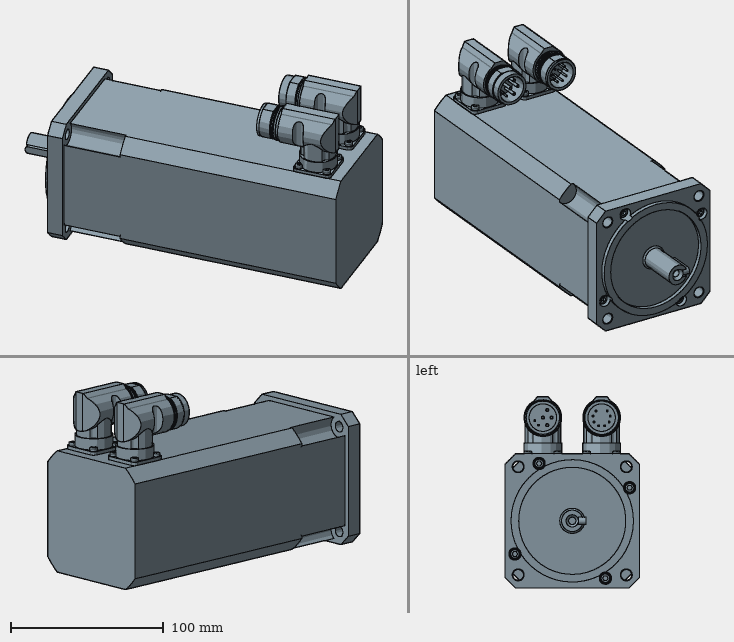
import cadquery as cq
import math


shaft_radius = 7.0
shaft_length = 30.0
key_width = 5.0
key_length = 20.0
key_floor = 4.0
key_top = 9.0
centre_bore_radius = 2.4
centre_bore_depth = 12.0
centre_countersink_radius = 4.0
centre_countersink_depth = 2.5

flange_width = 88.0
flange_thickness = 10.5
flange_chamfer = 7.0
pilot_radius = 40.0
pilot_height = 3.0
pilot_recess_radius = 35.0
pilot_recess_depth = 3.0
seal_radius = 8.2
seal_height = 1.0
bolt_circle_radius = 50.0
bolt_hole_radius = 3.5
bolt_hole_chamfer = 0.4

screw_circle_radius = 43.3
screw_first_angle = 30.0
screw_pocket_radius = 4.0
screw_pocket_depth = 5.0
screw_head_radius = 3.4
screw_head_height = 3.0
screw_head_chamfer = 0.6
screw_socket_width = 3.6
screw_socket_depth = 2.0

overall_length = 232.0
body_width = 82.0
body_corner_radius = 52.0
relief_radius = 7.5
relief_end = 50.0

connector_offset = 19.2
connector_x = 181.0
base_size = 26.3
base_height = 2.3
base_corner_radius = 3.0
base_screw_spacing = 19.5
base_screw_radius = 2.6
base_screw_height = 2.2
base_screw_rounding = 0.8
base_socket_width = 2.5
base_socket_depth = 1.2
collar_radius = 12.5
collar_top = 9.8
neck_radius = 11.7
neck_scallop_radius = 3.45

housing_start = 157.1
housing_end = 194.2
housing_radius = 12.3
overall_top = 125.22 - flange_width / 2
housing_roof_height = 13.75
roof_half_width = 3.5
roof_base_half_width = 6.0
rear_half_width = 3.0
rear_corner_length = 6.8
rear_corner_radius = 20.0
grip_x = 171.2
grip_radius = 3.75
grip_depth = 4.2

nose_start = 141.8
nose_bore_radius = 9.0
nose_bore_depth = 12.0
pin_circle_radius = 5.7
pin_length = 10.5
pin_chamfer = 0.25
pin_root = 1.0
power_pin_radius = 1.0
signal_pin_radius = 0.6

body_half = body_width / 2
body_end = overall_length - shaft_length
connector_axis_z = overall_top - housing_roof_height


def x_cylinder(radius, start, end, y=0.0, z=0.0):
    """Solid cylinder parallel to the motor axis."""
    return cq.Workplane("YZ", origin=(start, y, z)).circle(radius).extrude(end - start)


def x_cone(start_radius, end_radius, start, end, y=0.0, z=0.0):
    """Solid truncated cone parallel to the motor axis."""
    base = cq.Workplane("YZ", origin=(start, y, z)).circle(start_radius)
    return base.workplane(offset=end - start).circle(end_radius).loft(ruled=True)


def polar(radius, angle):
    """Y and Z of a point at an angle measured from -Y towards +Z."""
    turn = math.radians(angle)
    return -radius * math.cos(turn), radius * math.sin(turn)


def make_body():
    block = cq.Workplane("YZ").rect(body_width, body_width).extrude(body_end)
    body = block.intersect(x_cylinder(body_corner_radius, 0, body_end))
    for corner in range(4):
        y, z = polar(bolt_circle_radius, 45 + 90 * corner)
        body = body.cut(x_cylinder(relief_radius, 0, relief_end, y, z))
    return body


def make_flange():
    plate = cq.Workplane("YZ").rect(flange_width, flange_width).extrude(flange_thickness)
    plate = plate.edges("|X").chamfer(flange_chamfer)
    return plate.union(x_cylinder(pilot_radius, -pilot_height, 0))


def cut_flange_face(motor):
    floor_x = pilot_recess_depth - pilot_height
    bolt_rim_radius = bolt_hole_radius + bolt_hole_chamfer
    motor = motor.cut(x_cylinder(pilot_recess_radius, -pilot_height, floor_x))
    for corner in range(4):
        y, z = polar(bolt_circle_radius, 45 + 90 * corner)
        motor = motor.cut(x_cylinder(bolt_hole_radius, 0, flange_thickness, y, z))
        motor = motor.cut(x_cone(bolt_rim_radius, bolt_hole_radius, 0, bolt_hole_chamfer, y, z))
    return motor


def add_flange_screws(motor):
    head_top = screw_pocket_depth - screw_head_height
    for quarter in range(4):
        y, z = polar(screw_circle_radius, screw_first_angle + 90 * quarter)
        motor = motor.cut(x_cylinder(screw_pocket_radius, -pilot_height, screw_pocket_depth, y, z))
        head = x_cylinder(screw_head_radius, head_top, screw_pocket_depth, y, z)
        head = head.faces("<X").chamfer(screw_head_chamfer)
        socket = cq.Workplane("YZ", origin=(head_top, y, z)).polygon(6, screw_socket_width)
        motor = motor.union(head.cut(socket.extrude(screw_socket_depth)))
    return motor


def make_shaft():
    shaft = x_cylinder(shaft_radius, -shaft_length, flange_thickness)
    seal_end = pilot_recess_depth - pilot_height
    shaft = shaft.union(x_cone(shaft_radius, seal_radius, seal_end - seal_height, seal_end))
    key_plane = cq.Workplane("XZ", origin=(0, -key_floor, 0))
    key_centre = -shaft_length + key_length / 2
    key_outline = key_plane.center(key_centre, 0).slot2D(key_length, key_width)
    key = key_outline.extrude(key_top - key_floor)
    open_length = key_length / 2
    open_end = key_plane.center(-shaft_length + open_length / 2, 0).rect(open_length, key_width)
    shaft = shaft.cut(open_end.extrude(key_top - key_floor)).union(key)
    tip = -shaft_length
    countersink_end = tip + centre_countersink_depth
    shaft = shaft.cut(x_cone(centre_countersink_radius, centre_bore_radius, tip, countersink_end))
    return shaft.cut(x_cylinder(centre_bore_radius, tip, tip + centre_bore_depth))


def make_connector_base(y):
    plane = cq.Workplane("XY", origin=(connector_x, y, body_half))
    plate = plane.rect(base_size, base_size).extrude(base_height)
    base = plate.edges("|Z").fillet(base_corner_radius)
    head_top = base_height + base_screw_height
    corners = plane.rect(base_screw_spacing, base_screw_spacing, forConstruction=True).vertices()
    heads = corners.circle(base_screw_radius).extrude(head_top)
    base = base.union(heads.faces(">Z").edges().fillet(base_screw_rounding))
    socket_plane = plane.workplane(offset=head_top)
    sockets = socket_plane.rect(base_screw_spacing, base_screw_spacing, forConstruction=True)
    base = base.cut(sockets.vertices().polygon(6, base_socket_width).extrude(-base_socket_depth))
    return base.union(plane.circle(collar_radius).extrude(collar_top))


def make_neck(y):
    """Upright round neck, scalloped to clear each base screw."""
    height = connector_axis_z - body_half
    plane = cq.Workplane("XY", origin=(connector_x, y, body_half))
    neck = plane.circle(neck_radius).extrude(height)
    corners = plane.rect(base_screw_spacing, base_screw_spacing, forConstruction=True).vertices()
    return neck.cut(corners.circle(neck_scallop_radius).extrude(height))


def make_housing(y):
    """Horizontal barrel with a ridge on top, curved rear corners and two finger grips."""
    length = housing_end - housing_start
    barrel = x_cylinder(housing_radius, housing_start, housing_end, y, connector_axis_z)
    roof_base = math.sqrt(housing_radius**2 - roof_base_half_width**2)
    ridge = (
        cq.Workplane("YZ", origin=(housing_start, y, connector_axis_z))
        .moveTo(-roof_base_half_width, 0)
        .lineTo(-roof_base_half_width, roof_base)
        .lineTo(-roof_half_width, housing_roof_height)
        .lineTo(roof_half_width, housing_roof_height)
        .lineTo(roof_base_half_width, roof_base)
        .lineTo(roof_base_half_width, 0)
        .close()
        .extrude(length)
    )
    housing = barrel.union(ridge)

    corner_start = length - rear_corner_length
    footprint = (
        cq.Workplane("XY", origin=(housing_start, y, body_half))
        .moveTo(0, -housing_radius)
        .lineTo(corner_start, -housing_radius)
        .radiusArc((length, -rear_half_width), -rear_corner_radius)
        .lineTo(length, rear_half_width)
        .radiusArc((corner_start, housing_radius), -rear_corner_radius)
        .lineTo(0, housing_radius)
        .close()
        .extrude(overall_top - body_half)
    )
    housing = housing.intersect(footprint)

    grip_axis = housing_radius - grip_depth + grip_radius
    grip_plane = cq.Workplane("XY", origin=(grip_x, y, connector_axis_z))
    grips = grip_plane.pushPoints([(0, -grip_axis), (0, grip_axis)]).circle(grip_radius)
    return housing.cut(grips.extrude(housing_radius, both=True))


def make_nose(y, rings, flat_ring, flat_height):
    """Stepped plug nose from (radius, length) rings, one of them flat on top, with a blind bore."""
    x = nose_start
    nose = cq.Workplane("XY")
    for index, (radius, length) in enumerate(rings):
        ring = x_cylinder(radius, x, x + length, y, connector_axis_z)
        if index == flat_ring:
            below_flat = cq.Workplane("YZ", origin=(x, y, connector_axis_z + flat_height - radius))
            ring = ring.intersect(below_flat.rect(2 * radius, 2 * radius).extrude(length))
        nose = nose.union(ring)
        x += length
    bore_end = nose_start + nose_bore_depth
    return nose.cut(x_cylinder(nose_bore_radius, nose_start, bore_end, y, connector_axis_z))


def make_pins(y, angles, radius, circle_radius=pin_circle_radius):
    floor_x = nose_start + nose_bore_depth
    tip_x = floor_x - pin_length
    pins = cq.Workplane("XY")
    for angle in angles:
        dy, dz = polar(circle_radius, angle)
        pin = x_cylinder(radius, tip_x, floor_x + pin_root, y + dy, connector_axis_z + dz)
        pins = pins.union(pin.faces("<X").chamfer(pin_chamfer))
    return pins


def make_elbow(y):
    return make_connector_base(y).union(make_neck(y)).union(make_housing(y))


def make_power_connector():
    y = connector_offset
    rings = [(10.9, 5.4), (11.7, 6.4), (11.0, 0.7), (11.7, 1.2), (11.0, 1.6)]
    nose = make_nose(y, rings, flat_ring=1, flat_height=10.7)
    connector = make_elbow(y).union(nose)
    connector = connector.union(make_pins(y, (-60, 0, 60), power_pin_radius))
    connector = connector.union(make_pins(y, (0,), power_pin_radius, 0))
    return connector.union(make_pins(y, (200, 240), signal_pin_radius))


def make_signal_connector():
    y = -connector_offset
    rings = [(11.0, 1.7), (11.2, 7.4), (10.6, 0.8), (11.0, 1.0), (10.6, 0.9), (11.6, 1.5), (10.8, 2.0)]
    nose = make_nose(y, rings, flat_ring=1, flat_height=10.4)
    connector = make_elbow(y).union(nose)
    angles = [90 + 40 * step for step in range(1, 9)]
    return connector.union(make_pins(y, angles, signal_pin_radius))


motor = cut_flange_face(make_body().union(make_flange()))
motor = add_flange_screws(motor).union(make_shaft())
result = motor.union(make_power_connector()).union(make_signal_connector())